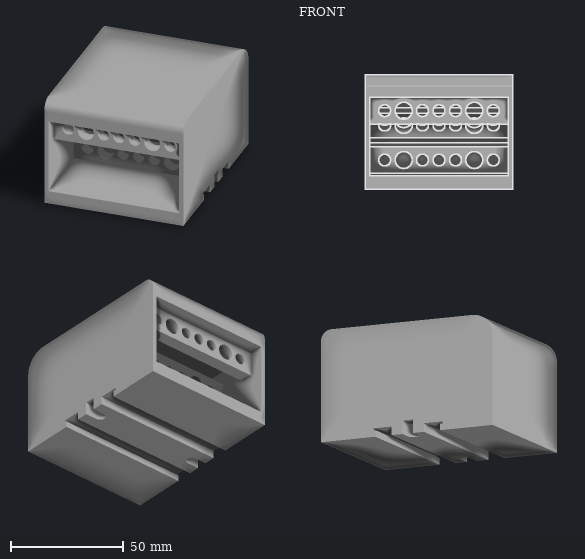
import cadquery as cq
import math

WIDTH = 66.0
LENGTH = 85.0
HEIGHT = 51.1
FRONT_RADIUS = 5.0
REAR_RADIUS = 10.0

SIDE_WALL = 2.0
FLOOR_Z = 6.1
CEILING_Z = 41.05
CAVITY_DEPTH = 38.25
CAVITY_WIDTH = WIDTH - 2 * SIDE_WALL

BAR_HEIGHT = 12.0
BAR_THICKNESS = 6.0
TOP_BAR_Y = 6.8
LOW_BAR_Z = 7.05
BAR_TILT = 25.0
TILTED_BAR_TOP_Z = 33.8
LEDGE_FOOT_Z = 20.8

SMALL_DIAMETER = 5.3
LARGE_DIAMETER = 7.6
TERMINALS = [(0, SMALL_DIAMETER)]
for distance, diameter in ((7.4, SMALL_DIAMETER), (15.7, LARGE_DIAMETER), (24.2, SMALL_DIAMETER)):
    TERMINALS += [(-distance, diameter), (distance, diameter)]

RAIL_CENTRE_Y = 42.9
TONGUE_WIDTH = 16.1
GROOVE_SPAN = 32.05
LIP_SPAN = 34.8
GROOVE_DEPTH = 3.9
LIP_Z = 3.0
SLOT_WIDTH = 5.1
SLOT_HEIGHT = 6.1
SLOT_LENGTH = 8.5


def along_x(points, width):
    """Extrude a closed (Y, Z) outline along X, centred on X = 0."""
    return cq.Workplane("YZ").polyline(points).close().extrude(width / 2, both=True)


def housing_block():
    block = cq.Workplane("XY").box(WIDTH, LENGTH, HEIGHT, centered=(True, False, False))
    block = block.edges("<Y and >Z").fillet(FRONT_RADIUS)
    return block.edges(">Y and >Z").fillet(REAR_RADIUS)


def front_cavity():
    return cq.Workplane("XY").box(
        CAVITY_WIDTH, CAVITY_DEPTH, CEILING_Z - FLOOR_Z, centered=(True, False, False)
    ).translate((0, 0, FLOOR_Z))


def upright_bar():
    """Drilled bar with its front face on Y = 0 and its upper front edge on Z = 0."""
    bar = cq.Workplane("XY").box(CAVITY_WIDTH, BAR_THICKNESS, BAR_HEIGHT, centered=(True, False, False))
    bar = bar.translate((0, 0, -BAR_HEIGHT))
    for x, diameter in TERMINALS:
        hole = cq.Workplane("XZ", origin=(x, 0, -BAR_HEIGHT / 2)).circle(diameter / 2).extrude(-BAR_THICKNESS)
        bar = bar.cut(hole)
    return bar


tilt = math.radians(BAR_TILT)
tilted_back_top_z = TILTED_BAR_TOP_Z + BAR_THICKNESS * math.sin(tilt)
tilted_back_top_y = CAVITY_DEPTH - (tilted_back_top_z - LEDGE_FOOT_Z) * math.tan(tilt)
tilted_bar_y = tilted_back_top_y - BAR_THICKNESS * math.cos(tilt)
ledge_top_y = tilted_back_top_y + BAR_HEIGHT * math.sin(tilt)
ledge_top_z = tilted_back_top_z - BAR_HEIGHT * math.cos(tilt)


def busbars():
    bar = upright_bar()
    top_bar = bar.translate((0, TOP_BAR_Y, CEILING_Z))
    low_bar = bar.translate((0, CAVITY_DEPTH - BAR_THICKNESS, LOW_BAR_Z + BAR_HEIGHT))
    tilted_bar = bar.rotate((0, 0, 0), (1, 0, 0), BAR_TILT)
    tilted_bar = tilted_bar.translate((0, tilted_bar_y, TILTED_BAR_TOP_Z))
    return [top_bar, tilted_bar, low_bar]


def bar_ledge():
    """Wedge on the cavity's rear wall, sloping in line with the back of the tilted bar."""
    outline = [
        (CAVITY_DEPTH, LEDGE_FOOT_Z),
        (ledge_top_y, ledge_top_z),
        (CAVITY_DEPTH, ledge_top_z),
    ]
    return along_x(outline, CAVITY_WIDTH)


def rail_groove(side):
    """Groove with an undercut lip on one side (-1 or 1 along Y) of the central tongue."""
    inner = RAIL_CENTRE_Y + side * TONGUE_WIDTH / 2
    outer = RAIL_CENTRE_Y + side * GROOVE_SPAN / 2
    lip = RAIL_CENTRE_Y + side * LIP_SPAN / 2
    outline = [
        (inner, 0),
        (inner, GROOVE_DEPTH),
        (lip, GROOVE_DEPTH),
        (lip, LIP_Z),
        (outer, LIP_Z),
        (outer, 0),
    ]
    return along_x(outline, WIDTH)


def mounting_slot(side):
    """Round-ended slot running inwards from one side face (-1 or 1 along X)."""
    return (
        cq.Workplane("XY", origin=(side * WIDTH / 2, RAIL_CENTRE_Y, 0))
        .slot2D(2 * SLOT_LENGTH, SLOT_WIDTH)
        .extrude(SLOT_HEIGHT)
    )


result = housing_block().cut(front_cavity()).union(bar_ledge())
for busbar in busbars():
    result = result.union(busbar)
for side in (-1, 1):
    result = result.cut(rail_groove(side)).cut(mounting_slot(side))